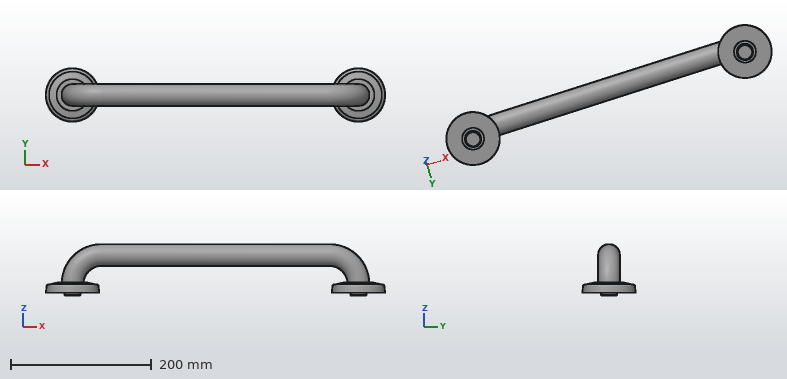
import cadquery as cq

overall_length = 482.5
flange_diameter = 76.3
overall_height = 74.0
flange_radius = flange_diameter / 2
post_x = overall_length / 2 - flange_radius

bar_diameter = 31.5
bar_radius = bar_diameter / 2
bend_radius = 41.0
bar_axis_z = overall_height - bar_radius
straight_half_length = post_x - bend_radius
bend_foot_z = bar_axis_z - bend_radius

plug_height = 4.5
plug_radius = 11.5
plug_chamfer = 1.5

flange_base_z = plug_height
rim_z = 13.5
rim_radius = 37.0
shoulder_z = 16.5
shoulder_radius = 33.5
crown_z = 19.0
crown_radius = 22.5

collar_top_z = 19.5
collar_top_radius = 20.8


def make_bar():
    """Round bar bent down through a quarter turn at each end."""
    path = (
        cq.Workplane("XZ")
        .moveTo(-post_x, flange_base_z)
        .lineTo(-post_x, bend_foot_z)
        .tangentArcPoint((-straight_half_length, bar_axis_z), relative=False)
        .lineTo(straight_half_length, bar_axis_z)
        .tangentArcPoint((post_x, bend_foot_z), relative=False)
        .lineTo(post_x, flange_base_z)
    )
    return (
        cq.Workplane("XY", origin=(-post_x, 0, flange_base_z))
        .circle(bar_radius)
        .sweep(path)
    )


def revolve_about_post(outline, x):
    """Turn a closed half-section about the vertical post axis and move it to x."""
    return outline.revolve(360, (0, 0), (0, 1)).translate((x, 0, 0))


def make_cover(x):
    """Round flange with tapered side, rounded shoulder, sloping top and bar hole."""
    outline = (
        cq.Workplane("XZ")
        .moveTo(bar_radius, flange_base_z)
        .lineTo(flange_radius, flange_base_z)
        .lineTo(rim_radius, rim_z)
        .tangentArcPoint((shoulder_radius, shoulder_z), relative=False)
        .lineTo(crown_radius, crown_z)
        .lineTo(bar_radius, crown_z)
        .close()
    )
    return revolve_about_post(outline, x)


def make_collar(x):
    """Low conical ring that sits on the cover around the bar."""
    outline = (
        cq.Workplane("XZ")
        .moveTo(bar_radius, crown_z)
        .lineTo(crown_radius, crown_z)
        .lineTo(collar_top_radius, collar_top_z)
        .lineTo(bar_radius, collar_top_z)
        .close()
    )
    return revolve_about_post(outline, x)


def make_plug(x):
    """Round stud under the flange, chamfered at its free end."""
    return (
        cq.Workplane("XY", origin=(x, 0, 0))
        .circle(plug_radius)
        .extrude(plug_height)
        .faces("<Z")
        .chamfer(plug_chamfer)
    )


bar = make_bar()
bodies = [bar.val()]
for x in (-post_x, post_x):
    cover = make_cover(x)
    collar = make_collar(x)
    plug = make_plug(x)
    bodies += [cover.val(), collar.val(), plug.val()]

result = cq.Compound.makeCompound(bodies)